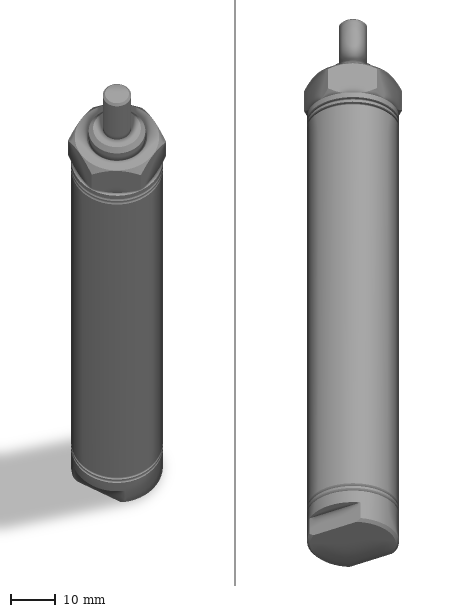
import cadquery as cq

total_length = 136.65
body_diameter = 20.57
body_radius = body_diameter / 2

rod_diameter = 6.35
rod_exposed_length = 12.6
rod_chamfer = 0.5

neck_diameter = 12.7
neck_exposed_length = 3.2
neck_chamfer = 1.0

nut_corner_diameter = 22.0
nut_thickness = 8.2
nut_face_diameter = 18.9
nut_bevel = (nut_corner_diameter - nut_face_diameter) / 2
nut_countersink = 0.4

groove_count = 2
groove_pitch = 1.24
groove_depth = 0.7
front_groove_offset = 1.25
rear_groove_height = 7.8

flats_distance = 15.7
flats_length = 4.76
rear_chamfer = 0.65

neck_top = total_length - rod_exposed_length
nut_top = neck_top - neck_exposed_length
body_front = nut_top - nut_thickness


def saw_tooth_groove(shelf_height, direction):
    """Ring with a flat shelf on one side and a 45 degree cone running out in the given direction."""
    root_radius = body_radius - groove_depth
    return (
        cq.Workplane("XZ")
        .moveTo(root_radius, shelf_height)
        .lineTo(body_radius, shelf_height)
        .lineTo(body_radius, shelf_height + direction * groove_depth)
        .close()
        .revolve(360, (0, 0, 0), (0, 1, 0))
    )


def make_body():
    """Cylinder body with its neck, crimp grooves, wrench flats and blind rod socket."""
    body = cq.Workplane("XY").circle(body_radius).extrude(body_front)
    body = body.faces("<Z").chamfer(rear_chamfer)

    neck = (
        cq.Workplane("XY", origin=(0, 0, body_front))
        .circle(neck_diameter / 2)
        .extrude(neck_top - body_front)
        .faces(">Z")
        .chamfer(neck_chamfer)
    )
    body = body.union(neck)

    for index in range(groove_count):
        front_shelf = body_front - front_groove_offset - index * groove_pitch
        rear_shelf = rear_groove_height + index * groove_pitch
        body = body.cut(saw_tooth_groove(front_shelf, -1))
        body = body.cut(saw_tooth_groove(rear_shelf, 1))

    flat_cut_depth = body_radius - flats_distance / 2
    for side in (-1, 1):
        flat_cut = cq.Workplane("XY").box(
            body_diameter, flat_cut_depth, flats_length, centered=(True, True, False)
        )
        body = body.cut(flat_cut.translate((0, side * (flats_distance + flat_cut_depth) / 2, 0)))

    socket = (
        cq.Workplane("XY", origin=(0, 0, body_front))
        .circle(rod_diameter / 2)
        .extrude(neck_top - body_front)
    )
    return body.cut(socket)


def make_rod():
    """Round rod from the bottom of its socket to the front tip."""
    return (
        cq.Workplane("XY", origin=(0, 0, body_front))
        .circle(rod_diameter / 2)
        .extrude(total_length - body_front)
        .faces(">Z")
        .chamfer(rod_chamfer)
    )


def make_nut():
    """Hex nut with corners on the Y axis, bevelled on both faces and countersunk on the front face."""
    hexagon = (
        cq.Workplane("XY", origin=(0, 0, body_front))
        .transformed(rotate=(0, 0, 90))
        .polygon(6, nut_corner_diameter)
        .extrude(nut_thickness)
    )
    bevel_envelope = (
        cq.Workplane("XY", origin=(0, 0, body_front))
        .circle(nut_corner_diameter / 2)
        .extrude(nut_thickness)
        .faces("<Z or >Z")
        .chamfer(nut_bevel)
    )
    bore = cq.Workplane("XY", origin=(0, 0, body_front)).circle(neck_diameter / 2).extrude(nut_thickness)
    nut = hexagon.intersect(bevel_envelope).cut(bore)
    bore_edge = nut.faces(">Z").edges("%CIRCLE").edges(cq.selectors.RadiusNthSelector(0))
    return bore_edge.chamfer(nut_countersink)


body = make_body()
rod = make_rod()
nut = make_nut()

result = cq.Compound.makeCompound([body.val(), rod.val(), nut.val()])